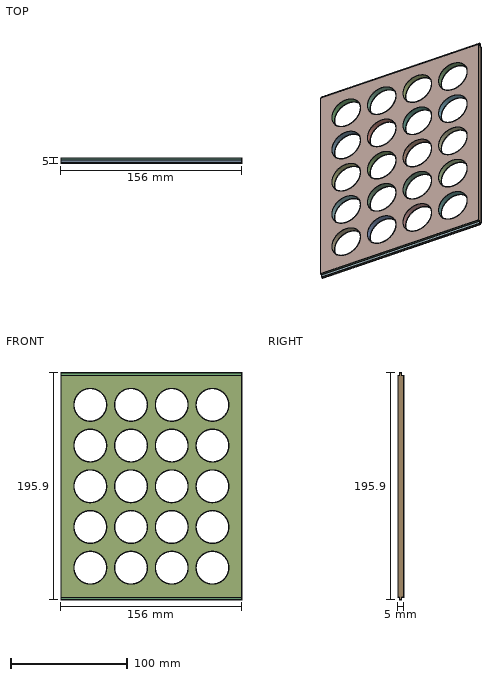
import cadquery as cq

width = 156.0
height = 195.9
thickness = 5.0

tongue_height = 2.4
tongue_thickness = 2.0
front_ledge = 1.2

hole_diameter = 28.0
hole_pitch = 35.0
columns = 4
rows = 5

body_height = height - 2 * tongue_height
tongue_y = -thickness / 2 + front_ledge + tongue_thickness / 2


def make_plate():
    """Full-thickness plate with a tongue nearer the front on its top and bottom edges."""
    body = cq.Workplane("XY").box(width, thickness, body_height)
    core = cq.Workplane("XY").box(width, tongue_thickness, height).translate((0, tongue_y, 0))
    return body.union(core).clean()


def make_holes():
    """Grid of round cutters running through the thickness."""
    return (
        cq.Workplane("XZ")
        .rarray(hole_pitch, hole_pitch, columns, rows)
        .circle(hole_diameter / 2)
        .extrude(thickness / 2, both=True)
        .clean()
    )


result = make_plate().cut(make_holes())